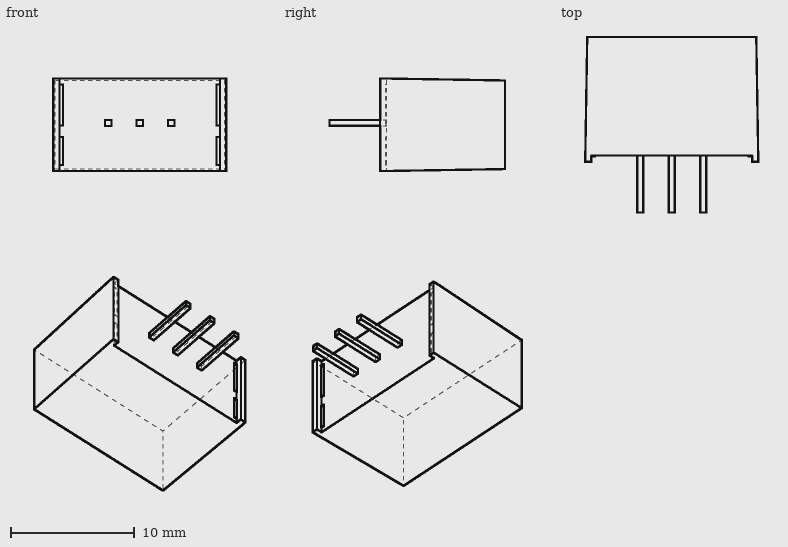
import cadquery as cq

width = 14.0
total_depth = 14.2
height = 7.5
pin_length = 4.6
back_inset = 0.15
rail_size = 0.5
rail_length = 0.51
pin_size = 0.5
pin_pitch = 2.54
pin_rise = 0.15
pad_width = 0.3
pad_inner_thickness = 0.05
pad_outer_thickness = 0.05
pad_edge_margin = 0.5
upper_pad_height = 3.3
lower_pad_height = 2.25

body_depth = total_depth - pin_length

rail_offset = (width - rail_size) / 2
rail_inner_x = width / 2 - rail_size
pad_inner_x = rail_inner_x - pad_width
upper_pad_z = height / 2 - pad_edge_margin - upper_pad_height / 2
lower_pad_z = -height / 2 + pad_edge_margin + lower_pad_height / 2


def base_block(x, z, size_x, size_z, length):
    """Block standing on the base face and extending toward -Y."""
    return cq.Workplane("XZ").center(x, z).rect(size_x, size_z).extrude(length)


def sloped_pad(side, z, pad_height):
    """Pad beside a rail, slightly thinner where it meets the rail."""
    profile = [
        (side * rail_inner_x, 0),
        (side * rail_inner_x, -pad_outer_thickness),
        (side * pad_inner_x, -pad_inner_thickness),
        (side * pad_inner_x, 0),
    ]
    return (
        cq.Workplane("XY", origin=(0, 0, z - pad_height / 2))
        .polyline(profile)
        .close()
        .extrude(pad_height)
    )


def tapered_body():
    """Case that narrows evenly on all four sides toward its back face."""
    return (
        cq.Workplane("XZ")
        .rect(width, height)
        .workplane(offset=-body_depth)
        .rect(width - 2 * back_inset, height - 2 * back_inset)
        .loft(ruled=True)
    )


result = tapered_body()

for side in (-1, 1):
    result = result.union(base_block(side * rail_offset, 0, rail_size, height, rail_length))
    for pad_z, pad_height in ((upper_pad_z, upper_pad_height), (lower_pad_z, lower_pad_height)):
        result = result.union(sloped_pad(side, pad_z, pad_height))

for column in (-1, 0, 1):
    result = result.union(base_block(column * pin_pitch, pin_rise, pin_size, pin_size, pin_length))